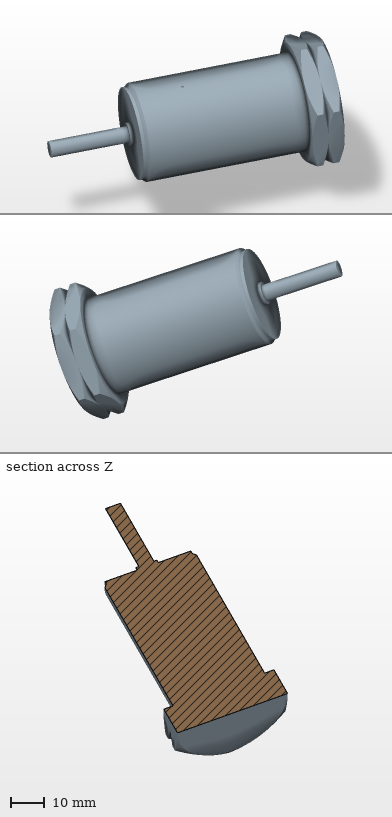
import cadquery as cq
import math

total_length = 86.0

nut_count = 2
nut_across_flats = 36.0
nut_thickness = 5.0
nut_chamfer_angle = 30.0

barrel_diameter = 30.0
barrel_length = 58.9
bevel_length = 1.0
rim_diameter = 28.1
rim_length = 1.0

collar_diameter = 7.0
collar_length = 1.0
cable_diameter = 5.0

dimple_diameter = 0.9
dimple_depth = 0.3
dimple_distance = 45.0

bevel_end = barrel_length + bevel_length
rim_end = bevel_end + rim_length
collar_end = rim_end + collar_length


def make_nut(start):
    """Hexagonal nut from Y = -start, with conical chamfers on both faces."""
    corner_diameter = nut_across_flats / math.cos(math.pi / 6)
    face_radius = nut_across_flats / 2
    corner_radius = corner_diameter / 2
    chamfer_length = (corner_radius - face_radius) * math.tan(math.radians(nut_chamfer_angle))
    end = start + nut_thickness
    hexagon = (
        cq.Workplane("XZ", origin=(0, -start, 0))
        .transformed(rotate=(0, 0, 90))
        .polygon(6, corner_diameter)
        .extrude(nut_thickness)
    )
    chamfer_envelope = (
        cq.Workplane("XY")
        .moveTo(0, -start)
        .lineTo(face_radius, -start)
        .lineTo(corner_radius, -(start + chamfer_length))
        .lineTo(corner_radius, -(end - chamfer_length))
        .lineTo(face_radius, -end)
        .lineTo(0, -end)
        .close()
        .revolve(360, (0, 0), (0, 1))
    )
    return hexagon.intersect(chamfer_envelope)


def make_body():
    """Barrel, rim, collar and cable as one turned profile."""
    return (
        cq.Workplane("XY")
        .moveTo(0, 0)
        .lineTo(barrel_diameter / 2, 0)
        .lineTo(barrel_diameter / 2, -barrel_length)
        .lineTo(rim_diameter / 2, -bevel_end)
        .lineTo(rim_diameter / 2, -rim_end)
        .lineTo(collar_diameter / 2, -rim_end)
        .lineTo(collar_diameter / 2, -collar_end)
        .lineTo(cable_diameter / 2, -collar_end)
        .lineTo(cable_diameter / 2, -total_length)
        .lineTo(0, -total_length)
        .close()
        .revolve(360, (0, 0), (0, 1))
    )


def make_dimple():
    """Cutter for the shallow round dimple, sunk from the barrel's top line."""
    return (
        cq.Workplane("XY", origin=(0, -dimple_distance, barrel_diameter / 2))
        .circle(dimple_diameter / 2)
        .extrude(-dimple_depth)
    )


result = make_body()
for nut_index in range(nut_count):
    result = result.union(make_nut(nut_index * nut_thickness))
result = result.cut(make_dimple())